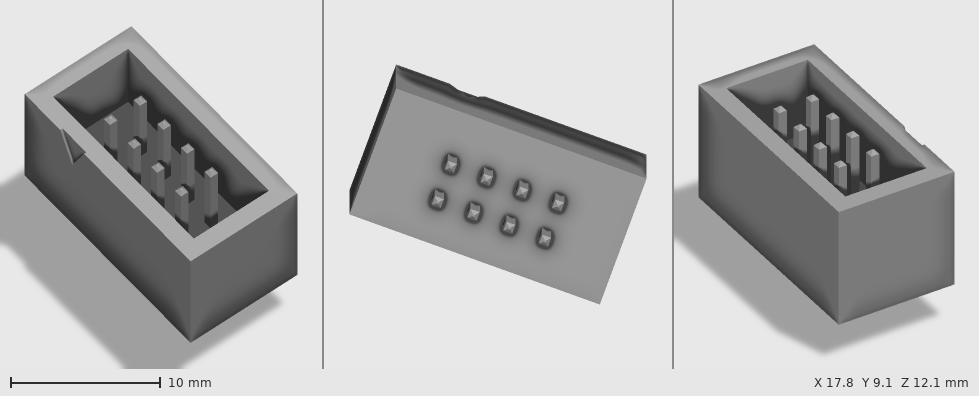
import cadquery as cq

housing_length = 17.82
housing_width = 9.1
housing_height = 9.1
wall = 1.35
cavity_depth = 5.92
floor_thickness = housing_height - cavity_depth

columns = 4
rows = 2
first_to_last_column = 7.63
pitch = first_to_last_column / (columns - 1)
first_column_x = -first_to_last_column / 2
pin_side = 0.65
pin_tip_chamfer = 0.25
pin_below_housing = 3.0
pin_length = pin_below_housing + housing_height

mark_width = pitch
mark_height = pitch
mark_depth = 0.2


def pin_centres():
    """(x, y) of every pin, on a grid centred on the housing."""
    first_row_y = -pitch * (rows - 1) / 2
    return [
        (first_column_x + column * pitch, first_row_y + row * pitch)
        for column in range(columns)
        for row in range(rows)
    ]


def make_mark_cutter():
    """Triangular prism reaching inward from the -Y face of the housing."""
    return (
        cq.Workplane("XZ", origin=(first_column_x, -housing_width / 2, housing_height))
        .moveTo(-mark_width / 2, 0)
        .lineTo(mark_width / 2, 0)
        .lineTo(0, -mark_height)
        .close()
        .extrude(-mark_depth)
    )


def make_housing():
    """Box with a deep cavity, square pin holes in its floor and the pin-one mark."""
    box = cq.Workplane("XY").box(
        housing_length, housing_width, housing_height, centered=(True, True, False)
    )
    cavity = (
        cq.Workplane("XY", origin=(0, 0, floor_thickness))
        .rect(housing_length - 2 * wall, housing_width - 2 * wall)
        .extrude(cavity_depth)
    )
    pin_holes = (
        cq.Workplane("XY")
        .pushPoints(pin_centres())
        .rect(pin_side, pin_side)
        .extrude(floor_thickness)
    )
    return box.cut(cavity).cut(pin_holes).cut(make_mark_cutter())


def make_pin(x, y):
    """Square post at (x, y), bevelled on all four sides at both ends."""
    return (
        cq.Workplane("XY", origin=(x, y, -pin_below_housing))
        .rect(pin_side, pin_side)
        .extrude(pin_length)
        .faces("<Z or >Z")
        .chamfer(pin_tip_chamfer)
    )


housing = make_housing()
pins = [make_pin(x, y).val() for x, y in pin_centres()]

result = cq.Compound.makeCompound([housing.val(), *pins])